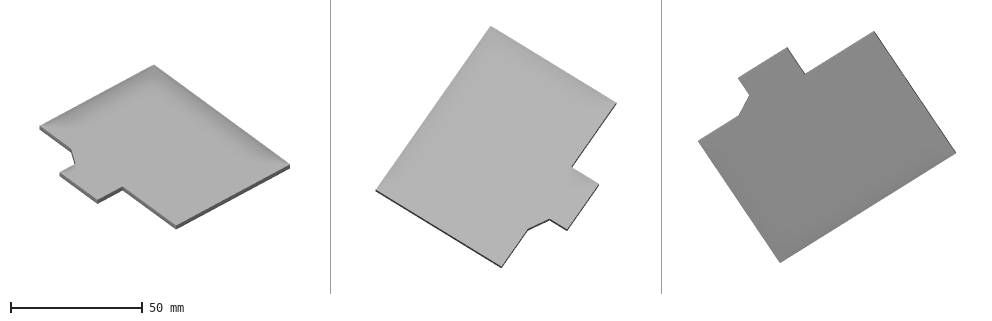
import cadquery as cq

plate_width = 80.0
total_depth = 70.0
thickness = 2.0
tab_length = 12.6

tab_left = 26.4
tab_width = 22.2
tab_right = tab_left + tab_width

slope_width = 8.0
slope_depth = 4.6

outline = [
    (0, tab_length),
    (tab_left - slope_width, tab_length),
    (tab_left, tab_length - slope_depth),
    (tab_left, 0),
    (tab_right, 0),
    (tab_right, tab_length),
    (plate_width, tab_length),
    (plate_width, total_depth),
    (0, total_depth),
]

result = cq.Workplane("XY").polyline(outline).close().extrude(thickness)